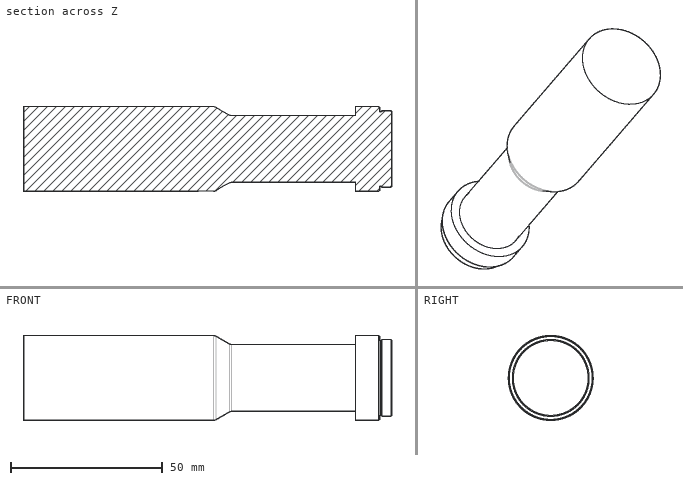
import cadquery as cq
import math

total_length = 121.2
handle_length = 62.9
flange_start = 109.2
flange_end = 117.2
groove_width = 0.4

handle_diameter = 28.0
shaft_diameter = 22.0
groove_diameter = 24.5
tip_diameter = 25.3

handle_radius = handle_diameter / 2
shaft_radius = shaft_diameter / 2
flange_radius = handle_radius
groove_radius = groove_diameter / 2
tip_radius = tip_diameter / 2

taper_angle = 30.0
blend_radius = 1.5
edge_chamfer = 0.4

taper_length = (handle_radius - shaft_radius) / math.tan(math.radians(taper_angle))
taper_end = handle_length + taper_length
groove_end = flange_end + groove_width
tip_start = groove_end + tip_radius - groove_radius


def make_body():
    """Revolve the half outline (x, radius) about the X axis."""
    outline = [
        (0, 0),
        (0, handle_radius),
        (handle_length, handle_radius),
        (taper_end, shaft_radius),
        (flange_start, shaft_radius),
        (flange_start, flange_radius),
        (flange_end - edge_chamfer, flange_radius),
        (flange_end, flange_radius - edge_chamfer),
        (flange_end, groove_radius),
        (groove_end, groove_radius),
        (tip_start, tip_radius),
        (total_length - edge_chamfer, tip_radius),
        (total_length, tip_radius - edge_chamfer),
        (total_length, 0),
    ]
    profile = cq.Workplane("XZ").polyline(outline).close()
    return profile.revolve(360, (0, 0, 0), (1, 0, 0))


def blend_taper(body):
    """Round both ends of the taper into the handle and the shaft."""
    margin = blend_radius
    taper_zone = cq.selectors.BoxSelector(
        (handle_length - margin, -handle_radius, -handle_radius),
        (taper_end + margin, handle_radius, handle_radius),
    )
    return body.edges("%CIRCLE").edges(taper_zone).fillet(blend_radius)


result = blend_taper(make_body())